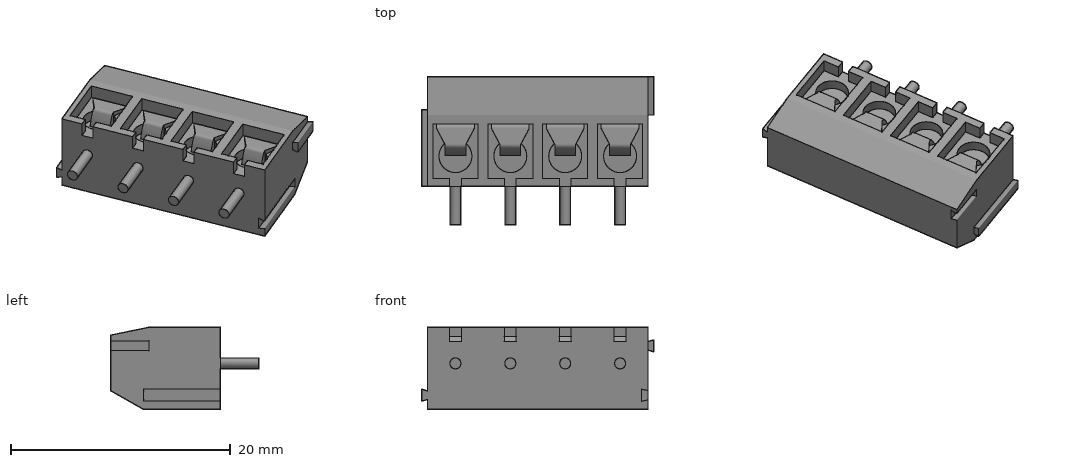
import cadquery as cq
import math

pole_count = 4
pitch = 5.0
side_margin = 0.05
body_width = pole_count * pitch + 2 * side_margin
body_depth = 10.0
body_height = 7.5

top_slope_length = 3.5
top_slope_drop = 0.72
bottom_slope_length = 3.0
bottom_slope_rise = 1.7

pin_diameter = 1.0
pin_length = 3.5
pin_height = 4.2

pocket_width = 4.1
pocket_depth = 1.3
front_wall = 0.75
pocket_length = 4.95
slot_width = 1.07
pocket_floor = body_height - pocket_depth
pocket_back = front_wall + pocket_length

well_radius = 1.5
well_depth = 1.0
well_setback = 2.93
well_floor = pocket_floor - well_depth
well_y = pocket_back - well_setback

tongue_back_width = 3.45
tongue_front_width = 1.9
heel_front = 0.4
heel_top = 0.26
ramp_front = 1.87
ramp_angle = math.radians(8.0)
ramp_top = heel_top + (ramp_front - heel_front) * math.tan(ramp_angle)
nose_front = 2.25
nose_bottom = 0.3
tongue_front = 2.87

front_dovetail_length = 7.0
back_dovetail_length = 3.5
lower_dovetail_z = 1.3
upper_dovetail_z = 5.8
rail_root = 0.8
rail_tip = 1.13
rail_projection = 0.53
groove_mouth = 0.85
groove_base = 1.1
groove_depth = 0.6
dovetail_rounding = 0.05


def make_body():
    """Extrude the side profile across the full width."""
    profile = [
        (0, 0),
        (body_depth - bottom_slope_length, 0),
        (body_depth, bottom_slope_rise),
        (body_depth, body_height - top_slope_drop),
        (body_depth - top_slope_length, body_height),
        (0, body_height),
    ]
    return cq.Workplane("YZ").polyline(profile).close().extrude(body_width)


def make_dovetail(face_x, direction, reach, face_height, end_height, center_z, start_y, length):
    """Trapezoid bar reaching from a side face along X, widening away from the face."""
    end_x = face_x + direction * reach
    section = [
        (face_x, center_z - face_height / 2),
        (end_x, center_z - end_height / 2),
        (end_x, center_z + end_height / 2),
        (face_x, center_z + face_height / 2),
    ]
    front_plane = cq.Workplane("XZ", origin=(0, start_y, 0))
    return front_plane.polyline(section).close().extrude(-length)


def make_rail(face_x, outward, center_z, start_y, length):
    """Dovetail rail with both tip edges rounded."""
    rail = make_dovetail(face_x, outward, rail_projection, rail_root, rail_tip, center_z, start_y, length)
    tip_side = ">X" if outward > 0 else "<X"
    return rail.faces(tip_side).edges("|Y").fillet(dovetail_rounding)


def cut_groove(body, face_x, inward, center_z, start_y, length):
    """Cut a dovetail groove and round both edges of its mouth."""
    groove = make_dovetail(face_x, inward, groove_depth, groove_mouth, groove_base, center_z, start_y, length)
    mouth_box = cq.selectors.BoxSelector(
        (face_x - groove_depth / 2, start_y, center_z - groove_base / 2),
        (face_x + groove_depth / 2, start_y + length, center_z + groove_base / 2),
    )
    return body.cut(groove).edges("|Y").edges(mouth_box).fillet(dovetail_rounding)


def make_pocket(center_x):
    """Pocket, front slot and round well of one pole."""
    pocket = cq.Workplane("XY").box(pocket_width, pocket_length, pocket_depth, centered=(True, False, False))
    pocket = pocket.translate((center_x, front_wall, pocket_floor))
    slot = cq.Workplane("XY").box(slot_width, front_wall, pocket_depth, centered=(True, False, False))
    slot = slot.translate((center_x, 0, pocket_floor))
    well = cq.Workplane("XY", origin=(center_x, well_y, well_floor)).circle(well_radius).extrude(well_depth)
    return pocket.union(slot).union(well)


def tongue_point(forward, height):
    """Point of the tongue's side profile as (Y, Z)."""
    return (pocket_back - forward, pocket_floor + height)


def make_tongue(center_x):
    """Curved side profile across X, trimmed to a plan that narrows towards the front."""
    ramp_back = tongue_point(heel_front, heel_top)
    side = (
        cq.Workplane("YZ", origin=(center_x - tongue_back_width / 2, 0, 0))
        .moveTo(*ramp_back)
        .lineTo(*tongue_point(ramp_front, ramp_top))
        .tangentArcPoint(tongue_point(nose_front, nose_bottom), relative=False)
        .tangentArcPoint(tongue_point(tongue_front, -well_depth), relative=False)
        .lineTo(*tongue_point(0, -well_depth))
        .lineTo(*tongue_point(0, 0))
    )
    heel_turn = math.atan2(heel_top, heel_front) - ramp_angle
    heel_chord = math.hypot(heel_front, heel_top)
    heel_bulge = heel_chord / 2 * math.tan(heel_turn / 2)
    heel_middle = tongue_point(
        heel_front / 2 - heel_bulge * heel_top / heel_chord,
        heel_top / 2 + heel_bulge * heel_front / heel_chord,
    )
    side = side.threePointArc(heel_middle, ramp_back).close().extrude(tongue_back_width)

    half_back = tongue_back_width / 2
    half_front = tongue_front_width / 2
    plan = [
        (-half_back, pocket_back),
        (-half_back, pocket_back - heel_front),
        (-half_front, pocket_back - ramp_front),
        (-half_front, pocket_back - tongue_front),
        (half_front, pocket_back - tongue_front),
        (half_front, pocket_back - ramp_front),
        (half_back, pocket_back - heel_front),
        (half_back, pocket_back),
    ]
    outline = cq.Workplane("XY", origin=(center_x, 0, well_floor)).polyline(plan).close()
    return side.intersect(outline.extrude(body_height - well_floor))


def make_pin(center_x):
    return cq.Workplane("XZ", origin=(center_x, 0, pin_height)).circle(pin_diameter / 2).extrude(pin_length)


back_dovetail_start = body_depth - back_dovetail_length

result = make_body()
result = cut_groove(result, 0, 1, upper_dovetail_z, back_dovetail_start, back_dovetail_length)
result = cut_groove(result, body_width, -1, lower_dovetail_z, 0, front_dovetail_length)
result = result.union(make_rail(0, -1, lower_dovetail_z, 0, front_dovetail_length))
result = result.union(make_rail(body_width, 1, upper_dovetail_z, back_dovetail_start, back_dovetail_length))

for pole in range(pole_count):
    pole_x = side_margin + (pole + 0.5) * pitch
    result = result.cut(make_pocket(pole_x))
    result = result.union(make_tongue(pole_x))
    result = result.union(make_pin(pole_x))